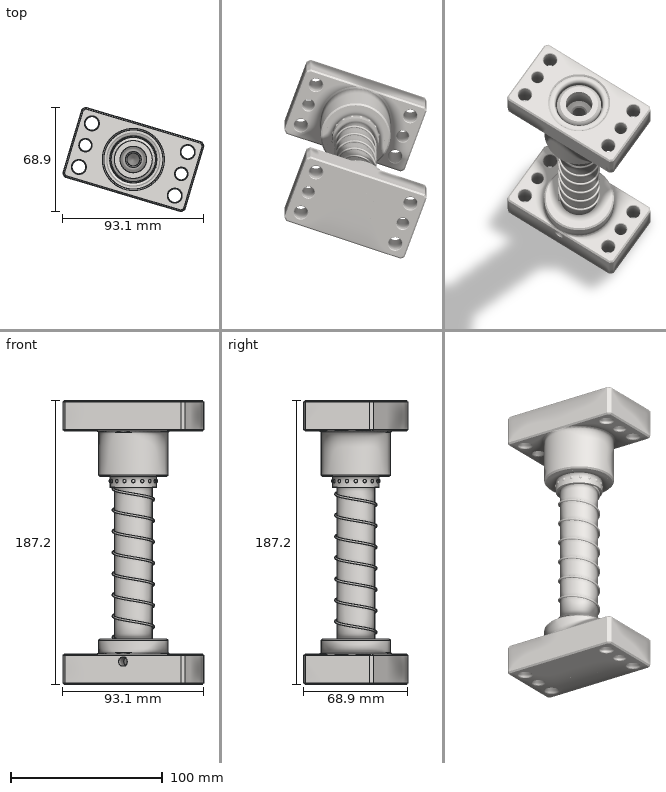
import cadquery as cq
import math

TOTAL_HEIGHT = 187.17
AXIS_TILT = -16.63

PLATE_LENGTH = 84.0
PLATE_WIDTH = 48.0
PLATE_THICKNESS = 20.0
CORNER_CHAMFER = 2.0
EDGE_CHAMFER = 1.0

HOLE_PITCH_LENGTH = 66.0
SCREW_PITCH_WIDTH = 30.0
SCREW_HOLE_DIAMETER = 9.0
DOWEL_HOLE_DIAMETER = 8.0
HOLE_CHAMFER = 0.4

BOSS_DIAMETER = 46.0
BOSS_TIP_CHAMFER = 1.0
BOSS_ROOT_FILLET = 1.0
LOWER_BOSS_HEIGHT = 10.0
UPPER_BOSS_HEIGHT = 30.0

CROSS_HOLE_DIAMETER = 6.0
CROSS_HOLE_DEPTH_BELOW_TOP = 5.0

BUSH_DIAMETER = 39.0
BUSH_BORE = 31.0
BUSH_MOUTH_FILLET = 2.0
BUSH_SEAT_CHAMFER = 1.0

PILLAR_DIAMETER = 25.0
TAPPED_HOLE_DIAMETER = 8.5
TAPPED_HOLE_DEPTH = 20.0
TAPPED_HOLE_CHAMFER = 1.0
DRILL_TIP_ANGLE = 118.0

STOP_RING_DIAMETER = 29.2
STOP_RING_BORE = 17.5
STOP_RING_HEIGHT = 15.0
STOP_RING_CHAMFER = 2.1
STOP_RING_RECESS = 2.2

CAGE_DIAMETER = 30.8
CAGE_CLEARANCE = 0.5
BALL_COUNT = 16
BALL_DIAMETER = 2.8
BALL_PROTRUSION = 0.55
BALL_ROW_HEIGHT = 4.1

SPRING_LENGTH = 100.0
SPRING_PITCH = 14.0
WIRE_DIAMETER = 1.4
COIL_RADIUS = 13.25
SPRING_START_ANGLE = 206.0

spring_bottom = PLATE_THICKNESS + LOWER_BOSS_HEIGHT
cage_bottom = spring_bottom + SPRING_LENGTH
upper_plate_bottom = TOTAL_HEIGHT - PLATE_THICKNESS
bush_bottom = upper_plate_bottom - UPPER_BOSS_HEIGHT
bush_top = TOTAL_HEIGHT - BUSH_SEAT_CHAMFER
stop_ring_top = TOTAL_HEIGHT - STOP_RING_RECESS
pillar_top = stop_ring_top - STOP_RING_HEIGHT


def cylinder(diameter, bottom, height):
    return cq.Workplane("XY", origin=(0, 0, bottom)).circle(diameter / 2).extrude(height)


def chamfered_hole(diameter):
    """Cutter for a through hole in the plate, opened out at both faces."""
    opening = diameter / 2 + HOLE_CHAMFER
    cutter = cylinder(diameter, 0, PLATE_THICKNESS)
    for face, direction in ((0, 1), (PLATE_THICKNESS, -1)):
        axis = cq.Vector(0, 0, direction)
        cone = cq.Solid.makeCone(opening, diameter / 2, HOLE_CHAMFER, cq.Vector(0, 0, face), axis)
        cutter = cutter.union(cq.Workplane(cone))
    return cutter


def boss_root():
    """Concave fillet round the boss foot, kept within the flat part of the plate face."""
    radius = BOSS_DIAMETER / 2
    arc_inset = BOSS_ROOT_FILLET * (1 - math.sqrt(0.5))
    foot = (
        cq.Workplane("XZ")
        .moveTo(0, 0)
        .lineTo(radius + BOSS_ROOT_FILLET, 0)
        .threePointArc((radius + arc_inset, arc_inset), (radius, BOSS_ROOT_FILLET))
        .lineTo(0, BOSS_ROOT_FILLET)
        .close()
        .revolve(360, (0, 0, 0), (0, 1, 0))
    )
    flat_face = cq.Workplane("XY").box(
        PLATE_LENGTH, PLATE_WIDTH - 2 * EDGE_CHAMFER, BOSS_ROOT_FILLET, centered=(True, True, False)
    )
    return foot.intersect(flat_face).translate((0, 0, PLATE_THICKNESS))


def make_housing(boss_height, bore):
    """Plate lying on Z = 0 with a bored boss on its upper face."""
    housing = (
        cq.Workplane("XY")
        .box(PLATE_LENGTH, PLATE_WIDTH, PLATE_THICKNESS, centered=(True, True, False))
        .edges("|Z")
        .chamfer(CORNER_CHAMFER)
        .faces("<Z or >Z")
        .chamfer(EDGE_CHAMFER)
    )
    boss = cylinder(BOSS_DIAMETER, PLATE_THICKNESS, boss_height).faces(">Z").chamfer(BOSS_TIP_CHAMFER)
    housing = housing.union(boss).union(boss_root())

    for side in (-1, 1):
        x = side * HOLE_PITCH_LENGTH / 2
        housing = housing.cut(chamfered_hole(DOWEL_HOLE_DIAMETER).translate((x, 0, 0)))
        for y in (-SCREW_PITCH_WIDTH / 2, SCREW_PITCH_WIDTH / 2):
            housing = housing.cut(chamfered_hole(SCREW_HOLE_DIAMETER).translate((x, y, 0)))

    return housing.cut(cylinder(bore, 0, PLATE_THICKNESS + boss_height))


def turn_about_axis(body):
    return body.rotate((0, 0, 0), (0, 0, 1), AXIS_TILT)


def make_lower_housing():
    housing = make_housing(LOWER_BOSS_HEIGHT, PILLAR_DIAMETER)
    cross_hole = (
        cq.Workplane("XZ", origin=(0, 0, PLATE_THICKNESS - CROSS_HOLE_DEPTH_BELOW_TOP))
        .circle(CROSS_HOLE_DIAMETER / 2)
        .extrude(PLATE_WIDTH / 2)
    )
    return turn_about_axis(housing.cut(cross_hole))


def make_upper_housing():
    """Same plate upside down, with the boss hanging below it."""
    housing = make_housing(UPPER_BOSS_HEIGHT, BUSH_DIAMETER)
    seat_radius = BUSH_DIAMETER / 2
    seat_cone = cq.Solid.makeCone(seat_radius + BUSH_SEAT_CHAMFER, seat_radius, BUSH_SEAT_CHAMFER)
    housing = housing.cut(cq.Workplane(seat_cone))
    housing = housing.rotate((0, 0, 0), (1, 0, 0), 180).translate((0, 0, TOTAL_HEIGHT))
    return turn_about_axis(housing)


def make_bush():
    height = bush_top - bush_bottom
    bush = cylinder(BUSH_DIAMETER, bush_bottom, height).cut(cylinder(BUSH_BORE, bush_bottom, height))
    mouth = cq.selectors.RadiusNthSelector(0)
    return bush.faces(">Z").edges(mouth).fillet(BUSH_MOUTH_FILLET)


def make_pillar():
    """Plain pillar with a chamfered blind hole, ending in a drill point, in its top."""
    radius = PILLAR_DIAMETER / 2
    hole_radius = TAPPED_HOLE_DIAMETER / 2
    hole_bottom = pillar_top - TAPPED_HOLE_DEPTH
    drill_tip = hole_bottom - hole_radius / math.tan(math.radians(DRILL_TIP_ANGLE / 2))
    return (
        cq.Workplane("XZ")
        .polyline([
            (0, 0),
            (radius, 0),
            (radius, pillar_top),
            (hole_radius + TAPPED_HOLE_CHAMFER, pillar_top),
            (hole_radius, pillar_top - TAPPED_HOLE_CHAMFER),
            (hole_radius, hole_bottom),
            (0, drill_tip),
        ])
        .close()
        .revolve(360, (0, 0, 0), (0, 1, 0))
    )


def make_stop_ring():
    ring = cylinder(STOP_RING_DIAMETER, pillar_top, STOP_RING_HEIGHT).faces(">Z").chamfer(STOP_RING_CHAMFER)
    return ring.cut(cylinder(STOP_RING_BORE, pillar_top, STOP_RING_HEIGHT))


def make_ball_cage():
    """Sleeve below the stop ring, with a row of balls just below the bush."""
    height = pillar_top - cage_bottom
    cage = cylinder(CAGE_DIAMETER, cage_bottom, height)
    cage = cage.cut(cylinder(PILLAR_DIAMETER + 2 * CAGE_CLEARANCE, cage_bottom, height))
    ball_circle_radius = (CAGE_DIAMETER - BALL_DIAMETER) / 2 + BALL_PROTRUSION
    for index in range(BALL_COUNT):
        angle = 2 * math.pi * index / BALL_COUNT
        x = ball_circle_radius * math.cos(angle)
        y = ball_circle_radius * math.sin(angle)
        ball = cq.Workplane("XY").sphere(BALL_DIAMETER / 2)
        cage = cage.union(ball.translate((x, y, cage_bottom + BALL_ROW_HEIGHT)))
    return cage


def make_spring():
    """Left-hand coil, ground flat where it meets the lower boss and the cage."""
    path = cq.Wire.makeHelix(SPRING_PITCH, SPRING_LENGTH, COIL_RADIUS, lefthand=True)
    coil = cq.Workplane("XZ", origin=(COIL_RADIUS, 0, 0)).circle(WIRE_DIAMETER / 2).sweep(path, isFrenet=True)
    coil = coil.rotate((0, 0, 0), (0, 0, 1), SPRING_START_ANGLE).translate((0, 0, spring_bottom))
    ground_space = cylinder(2 * PILLAR_DIAMETER, spring_bottom, SPRING_LENGTH)
    return coil.intersect(ground_space)


lower_housing = make_lower_housing()
upper_housing = make_upper_housing()
bush = make_bush()
pillar = make_pillar()
stop_ring = make_stop_ring()
ball_cage = make_ball_cage()
spring = make_spring()

result = cq.Compound.makeCompound([
    lower_housing.solids().val(),
    upper_housing.solids().val(),
    bush.solids().val(),
    pillar.solids().val(),
    stop_ring.solids().val(),
    ball_cage.solids().val(),
    spring.solids().val(),
])